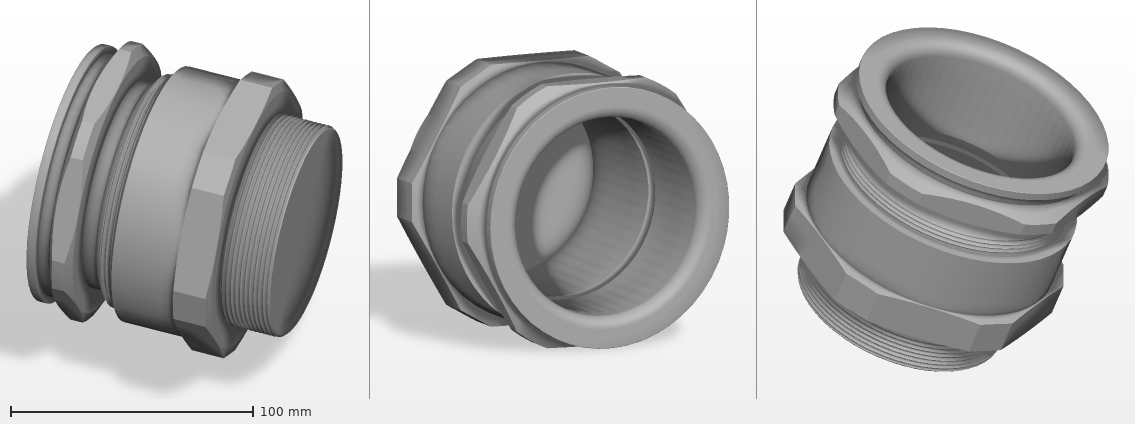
import cadquery as cq
import math


hex_sides = 6
half_side_angle = 180 / hex_sides
across_flats = 110.0
corner_diameter = 118.8
hex_face_diameter = 109.3

flange_diameter = 109.5
flange_width = 3.8
flange_chamfer = 0.2
collar_diameter = 103.3
screw_hex_start = 8.7
screw_hex_end = 20.4
screw_hex_front_chamfer = 4.2
screw_hex_back_chamfer = 2.3
neck_diameter = 87.9
neck_end = 26.4
screw_thread_start = 29.7
screw_root_diameter = 96.8
screw_crest_diameter = 99.5
screw_end = 43.1
screw_bore_diameter = 83.1
mouth_radius = 5.0

barrel_start = 37.2
barrel_diameter = 108.8
body_hex_start = 64.9
body_hex_end = 81.0
body_hex_corner_width = 117.7
body_hex_chamfer = 1.1
body_end = 103.0
body_root_diameter = 87.9
body_crest_diameter = 90.0
clear_bore_diameter = 82.1

body_thread_turns = 11
pitch = (body_end - body_hex_end) / body_thread_turns
ridge_base = 1.8
ridge_root_overlap = 0.2
trim_height = 1.8
screw_crest_at_y = 27.9
body_crest_at_y = 79.1

ring_start = 48.5
ring_diameter = 87.9
ring_end = body_hex_start
disc_thickness = 2.4


def cylinder(start, end, diameter):
    return cq.Workplane("YZ", origin=(start, 0, 0)).circle(diameter / 2).extrude(end - start)


def turned(points):
    """Revolve an outline of (x, radius) points about the X axis."""
    return cq.Workplane("XY").polyline(points).close().revolve(360, (0, 0, 0), (1, 0, 0))


def hexagon(start, end, width, corner_angle):
    """Hexagonal prism along X, with a corner at the given angle from the Y axis."""
    width_across_corners = width / math.cos(math.pi / hex_sides)
    prism = cq.Workplane("YZ", origin=(start, 0, 0)).polygon(hex_sides, width_across_corners)
    return prism.extrude(end - start).rotate((0, 0, 0), (1, 0, 0), corner_angle)


def chamfer_envelope(start, end, front_diameter, back_diameter, front_chamfer, back_chamfer):
    """Round blank of the corner diameter, coned down to the face diameters at both ends."""
    return turned([
        (start, 0),
        (start, front_diameter / 2),
        (start + front_chamfer, corner_diameter / 2),
        (end - back_chamfer, corner_diameter / 2),
        (end, back_diameter / 2),
        (end, 0),
    ])


def thread_ridge(crest_start, root_diameter, crest_diameter, end):
    """Right-hand helical ridge whose crest crosses the +Y side at crest_start, running past end."""
    turns = math.ceil((end - crest_start) / pitch) + 1
    root_radius = root_diameter / 2
    inner_radius = root_radius - ridge_root_overlap
    path = cq.Wire.makeHelix(pitch, pitch * turns, root_radius)
    profile = cq.Workplane("XZ").polyline([
        (inner_radius, -ridge_base / 2),
        (crest_diameter / 2, 0),
        (inner_radius, ridge_base / 2),
    ]).close()
    ridge = profile.sweep(cq.Workplane(path), isFrenet=True)
    ridge = ridge.rotate((0, 0, 0), (1, 1, 1), 360 / 3)
    return ridge.translate((crest_start, 0, 0))


def make_pressure_screw():
    flange = cylinder(0, flange_width, flange_diameter).edges("%CIRCLE").chamfer(flange_chamfer)
    collar = cylinder(flange_width, screw_hex_start, collar_diameter)
    hex_blank = hexagon(screw_hex_start, screw_hex_end, across_flats, 0)
    hex_part = hex_blank.intersect(chamfer_envelope(
        screw_hex_start, screw_hex_end, collar_diameter, hex_face_diameter,
        screw_hex_front_chamfer, screw_hex_back_chamfer,
    ))
    shank = turned([
        (screw_hex_end, 0),
        (screw_hex_end, neck_diameter / 2),
        (neck_end, neck_diameter / 2),
        (screw_thread_start, screw_root_diameter / 2),
        (screw_end, screw_root_diameter / 2),
        (screw_end, 0),
    ])
    relief_slope = 2 * (screw_thread_start - neck_end) / (screw_root_diameter - neck_diameter)
    thread_zone = turned([
        (neck_end, 0),
        (neck_end, neck_diameter / 2),
        (screw_thread_start + trim_height * relief_slope, screw_root_diameter / 2 + trim_height),
        (barrel_start, screw_root_diameter / 2 + trim_height),
        (barrel_start, 0),
    ])
    ridge = thread_ridge(screw_crest_at_y, screw_root_diameter, screw_crest_diameter, barrel_start)
    ridge = ridge.intersect(thread_zone)
    screw = flange.union(collar).union(hex_part).union(shank).union(ridge)

    screw = screw.cut(cylinder(0, screw_end, screw_bore_diameter))
    bore_radius = screw_bore_diameter / 2
    mouth = (
        cq.Workplane("XY")
        .moveTo(0, bore_radius)
        .lineTo(0, bore_radius + mouth_radius)
        .radiusArc((mouth_radius, bore_radius), -mouth_radius)
        .close()
        .revolve(360, (0, 0, 0), (1, 0, 0))
    )
    return screw.cut(mouth)


def make_gland_body():
    barrel = cylinder(barrel_start, body_hex_start, barrel_diameter)
    hex_blank = hexagon(body_hex_start, body_hex_end, across_flats, 0)
    corner_flats = hexagon(body_hex_start, body_hex_end, body_hex_corner_width, half_side_angle)
    hex_part = hex_blank.intersect(corner_flats).intersect(chamfer_envelope(
        body_hex_start, body_hex_end, hex_face_diameter, hex_face_diameter,
        body_hex_chamfer, body_hex_chamfer,
    ))
    spigot = cylinder(body_hex_end, body_end, body_root_diameter)
    trim_radius = body_root_diameter / 2 + trim_height
    thread_zone = turned([
        (body_hex_end, 0),
        (body_hex_end, trim_radius),
        (body_end - trim_height, trim_radius),
        (body_end, body_root_diameter / 2),
        (body_end, 0),
    ])
    ridge = thread_ridge(body_crest_at_y, body_root_diameter, body_crest_diameter, body_end)
    ridge = ridge.intersect(thread_zone)
    body = barrel.union(hex_part).union(spigot).union(ridge)

    bores = [
        (barrel_start, screw_end, screw_root_diameter),
        (screw_end, ring_end, ring_diameter),
        (ring_end, body_end, clear_bore_diameter),
    ]
    for start, end, diameter in bores:
        body = body.cut(cylinder(start, end, diameter))
    return body


def make_sealing_ring():
    ring = cylinder(ring_start, ring_end, ring_diameter)
    return ring.cut(cylinder(ring_start, ring_end, clear_bore_diameter))


def make_closing_disc():
    return cylinder(body_end - disc_thickness, body_end, clear_bore_diameter)


pressure_screw = make_pressure_screw()
gland_body = make_gland_body()
sealing_ring = make_sealing_ring()
closing_disc = make_closing_disc()

result = cq.Compound.makeCompound([
    pressure_screw.val(),
    gland_body.val(),
    sealing_ring.val(),
    closing_disc.val(),
])